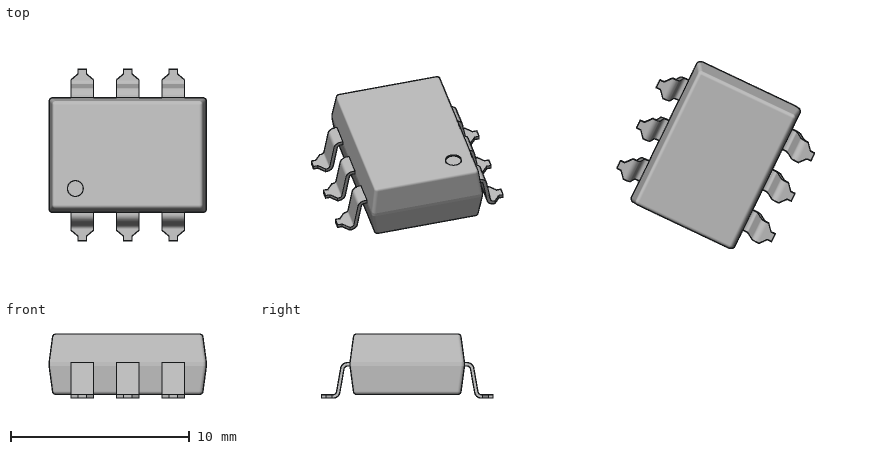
import cadquery as cq
import math


body_length = 8.8
body_width = 6.41
total_height = 3.6
draft_angle = 7.7
edge_radius = 0.2

mark_diameter = 0.88
mark_depth = 0.1
mark_x = -2.93
mark_y = -1.87

leads_per_row = 3
lead_pitch = 2.54
lead_width = 1.27
lead_thickness = 0.2
lead_span = 9.6
lead_slope = 10.0
inner_bend_radius = 0.2
foot_length = 0.64
tip_width = 0.48
tip_length = 0.26
taper_length = 0.34
embedded_length = 0.48

body_bottom = lead_thickness
body_height = total_height - body_bottom
belt_height = lead_thickness
belt_bottom = body_bottom + (body_height - belt_height) / 2
belt_top = belt_bottom + belt_height
half_span = lead_span / 2


def make_body():
    """Straight belt with a drafted half above and below, all outer edges rounded."""
    drafted_height = (body_height - belt_height) / 2
    belt = cq.Workplane("XY", origin=(0, 0, belt_bottom)).rect(body_length, body_width).extrude(belt_height)
    upper = (
        cq.Workplane("XY", origin=(0, 0, belt_top))
        .rect(body_length, body_width)
        .extrude(drafted_height, taper=draft_angle)
    )
    lower = (
        cq.Workplane("XY", origin=(0, 0, belt_bottom))
        .rect(body_length, body_width)
        .extrude(-drafted_height, taper=draft_angle)
    )
    body = belt.union(upper).union(lower)
    return body.edges("(not #Z) or <Z or >Z").fillet(edge_radius)


def make_bent_strip():
    """Full-width lead strip on the +Y side, bent twice and centred on X = 0."""
    slope = math.radians(lead_slope)
    bend_setback = math.tan((math.pi / 2 - slope) / 2)
    outer_bend_radius = inner_bend_radius + lead_thickness

    foot_y = half_span - foot_length - inner_bend_radius * bend_setback
    shoulder_y = foot_y - (belt_top - lead_thickness) * math.tan(slope)
    surface_shift = lead_thickness * bend_setback
    start_y = body_width / 2 - embedded_length

    shoulder_outer = (shoulder_y, belt_top)
    shoulder_inner = (shoulder_y - surface_shift, belt_bottom)
    foot_inner = (foot_y, lead_thickness)
    foot_outer = (foot_y - surface_shift, 0)

    strip = (
        cq.Workplane("YZ")
        .polyline([
            (start_y, belt_top),
            shoulder_outer,
            foot_inner,
            (half_span, lead_thickness),
            (half_span, 0),
            foot_outer,
            shoulder_inner,
            (start_y, belt_bottom),
        ])
        .close()
        .extrude(lead_width / 2, both=True)
    )
    bends = [
        (shoulder_outer, outer_bend_radius),
        (shoulder_inner, inner_bend_radius),
        (foot_inner, inner_bend_radius),
        (foot_outer, outer_bend_radius),
    ]
    for (y, z), radius in bends:
        corner = cq.NearestToPointSelector((0, y, z))
        strip = strip.edges("|X").edges(corner).fillet(radius)
    return strip


def make_lead():
    """Bent strip trimmed to a plan outline that narrows to the tip."""
    half_width = lead_width / 2
    half_tip = tip_width / 2
    tip_start = half_span - tip_length
    taper_start = tip_start - taper_length
    outline = (
        cq.Workplane("XY")
        .polyline([
            (-half_width, 0),
            (-half_width, taper_start),
            (-half_tip, tip_start),
            (-half_tip, half_span),
            (half_tip, half_span),
            (half_tip, tip_start),
            (half_width, taper_start),
            (half_width, 0),
        ])
        .close()
        .extrude(total_height)
    )
    return make_bent_strip().intersect(outline)


def make_pin_mark():
    """Round tool for the pin 1 recess, reaching down from the top face."""
    return (
        cq.Workplane("XY", origin=(mark_x, mark_y, total_height))
        .circle(mark_diameter / 2)
        .extrude(-mark_depth)
    )


result = make_body().cut(make_pin_mark())
back_lead = make_lead()
front_lead = back_lead.mirror("XZ")
for index in range(leads_per_row):
    lead_x = (index - (leads_per_row - 1) / 2) * lead_pitch
    for lead in (back_lead, front_lead):
        result = result.union(lead.translate((lead_x, 0, 0)))